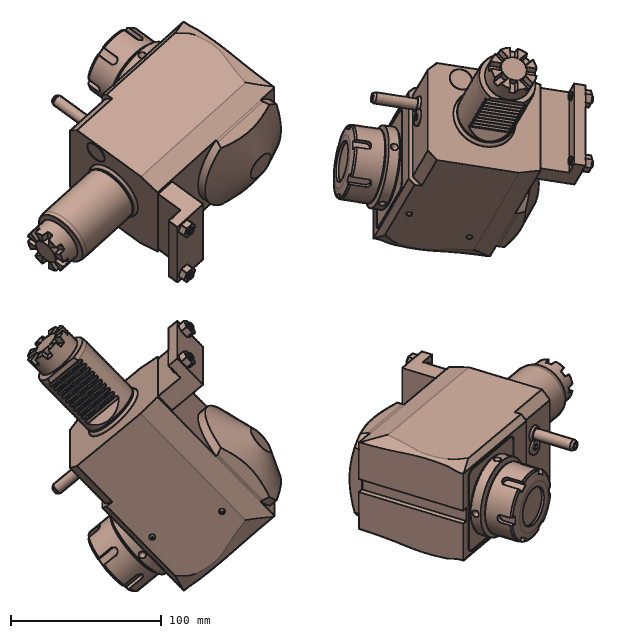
import cadquery as cq
import math


OVERALL_LENGTH = 184.0

BODY_LENGTH = 116.1
HALF_HEIGHT = 37.5
BODY_RIGHT = 39.0
SLOPE_START = 24.0
SLOPE_DROP = 4.5
HEAD_LEFT = -42.0
HEAD_CHAMFER = 4.0
BASE_LEFT = -39.2
BASE_CHAMFER = 6.3
BASE_LENGTH = 35.0
REAR_NOTCH_WIDTH = 10.0
REAR_NOTCH_DEPTH = 4.0
REAR_FALL = 0.31
REAR_EDGE_END = 102.7
REAR_EDGE = [
    (-37.7, 103.2),
    (-31.3, 108.5),
    (-24.0, 111.3),
    (-13.5, 112.6),
    (-1.3, 111.0),
    (10.0, 107.3),
    (24.0, 104.0),
]
OVERLAP = 1.8
MARK_DEPTH = 0.4

SPINDLE_Y = 80.0
NUT_FRONT = -74.5
NUT_RADIUS = 25.2
NUT_FACE_RADIUS = 18.0
NUT_CONE_LENGTH = 1.5
NUT_FRONT_BEVEL = 1.3
NUT_EDGE = 0.7
NUT_BACK = -51.7
NUT_SLOT_COUNT = 6
NUT_SLOT_WIDTH = 5.9
NUT_SLOT_FLOOR = 21.9
LONG_SLOT_END = -58.1
SHORT_SLOT_END = -61.8
BORE_RADIUS = 13.8
BORE_DEPTH = 1.8
NECK_RADIUS = 20.5
COLLAR_FRONT = -50.5
COLLAR_BACK = -42.9
COLLAR_RADIUS = 28.0
SEAT_RADIUS = 26.9
COLLAR_HOLE_RADIUS = 2.5
COLLAR_HOLE_DEPTH = 2.8
COVER_Y = 58.1
COVER_Z = 63.1
COVER_CORNER = 5.0

CAP_RADIUS = 40.0
CAP_TIP_RADIUS = 10.0
CAP_RIM = 45.3
CAP_TIP = 59.0
CAP_FLAT_Y = 111.3
CAP_FLAT_Z = 33.1
CAP_SLOPE_START = 40.7
CAP_SLOPE_ANGLE = 15.0

SHANK_RADIUS = 20.0
RELIEF_RADIUS = 19.5
RELIEF_END = -3.3
SHANK_END = -52.8
SHANK_CHAMFER = 0.5
SHANK_CHAMFER_START = -49.9
FLANGE_RADIUS = 21.5
FLANGE_THICKNESS = 2.2
FLANGE_ROUND = 1.8
COUPLING_RADIUS = 16.0
COUPLING_START = -54.0
COUPLING_END = BODY_LENGTH - OVERALL_LENGTH
COUPLING_NECK = 12.7
CLAW_COUNT = 8
CLAW_DEPTH = 4.6
CLAW_SLOT_ROOT = 4.0
CLAW_SLOT_MOUTH = 5.5
CLAW_HUB_RADIUS = 8.8
RACK_CREST = -15.8
RACK_DEPTH = 1.5
RACK_TEETH = 9
RACK_FIRST = -13.8
RACK_LAST = -45.5
RACK_START = -10.5
RACK_TIP_WIDTH = 0.7
RACK_ROOT_WIDTH = 2.4

PIN_Y = 21.0
PIN_Z = 16.2
PIN_RADIUS = 3.9
PIN_TIP = -71.5
PIN_CHAMFER = 2.0
PIN_SEAT_RADIUS = 5.7
PIN_SEAT_HEIGHT = 1.8
PIN_SEAT_TAPER = 1.0
PLUG_Z = 6.0
PLUG_RADIUS = 5.7
PLUG_HEIGHT = 1.7
PLUG_ROUND = 0.5
SOCKET_SIZE = 4.0
SOCKET_DEPTH = 1.8

RECESS_X = -16.2
RECESS_Z = 27.8
RECESS_RADIUS = 7.7

BRACKET_HALF_HEIGHT = 31.1
BRACKET_RIGHT = 66.8
BRACKET_LEG_LEFT = 58.9
BRACKET_TOP_Y = 14.4
BRACKET_UNDER_Y = 0.5
BRACKET_END_Y = -11.2
BOLT_Y = -4.6
BOLT_Z = 25.0
BOLT_RADIUS = 3.0
BOLT_LEFT = 57.2
BOLT_RIGHT = 73.6
BOLT_CHAMFER = 1.0
HEX_FLATS = 10.0
HEX_THICKNESS = 5.0

STUD_PLACES = [(-30.4, 71.8), (16.5, 88.9)]
STUD_RADIUS = 2.0
STUD_TIP_RADIUS = 0.7
STUD_HEIGHT = 1.5


def box(x0, x1, y0, y1, z0, z1):
    return cq.Workplane("XY").box(x1 - x0, y1 - y0, z1 - z0, centered=False).translate((x0, y0, z0))


def rod_x(x0, x1, y, z, radius):
    return cq.Workplane("YZ", origin=(x0, y, z)).circle(radius).extrude(x1 - x0)


def hex_x(x0, x1, y, z, flats):
    """Hexagonal prism along X with two of its corners pointing along Y."""
    return cq.Workplane("YZ", origin=(x0, y, z)).polygon(6, flats / math.cos(math.pi / 6)).extrude(x1 - x0)


def turned_x(profile, y, z=0.0):
    """Revolve (x, radius) points about an axis parallel to X."""
    points = [(profile[0][0], 0)] + profile + [(profile[-1][0], 0)]
    return cq.Workplane("XY").polyline(points).close().revolve(360, (0, 0), (1, 0)).translate((0, y, z))


def turned_y(profile):
    """Revolve (y, radius) points about the Y axis."""
    points = [(0, profile[0][0])] + [(r, y) for y, r in profile] + [(0, profile[-1][0])]
    return cq.Workplane("XY").polyline(points).close().revolve(360, (0, 0), (0, 1))


def both_sides(shape):
    """A shape together with its mirror image below Z = 0."""
    return shape.union(shape.mirror("XY"))


def body_block(left, chamfer, y0, y1):
    upper = [
        (left, HALF_HEIGHT - chamfer),
        (left + chamfer, HALF_HEIGHT),
        (SLOPE_START, HALF_HEIGHT),
        (BODY_RIGHT, HALF_HEIGHT - SLOPE_DROP),
    ]
    lower = [(x, -z) for x, z in reversed(upper)]
    return cq.Workplane("XZ", origin=(0, y0, 0)).polyline(upper + lower).close().extrude(y0 - y1)


def rear_bevel():
    """Cutter for the upper rear bevel: the edge curve swept along a falling straight line."""
    run = 36.8
    far_y = BODY_LENGTH + run
    outline = (
        cq.Workplane("XY", origin=(0, 0, HALF_HEIGHT))
        .moveTo(HEAD_LEFT, far_y)
        .lineTo(HEAD_LEFT, REAR_EDGE_END)
        .spline(REAR_EDGE + [(BODY_RIGHT, REAR_EDGE_END)], includeCurrent=True)
        .lineTo(BODY_RIGHT, far_y)
        .close()
    )
    fall = cq.Vector(0, run, -REAR_FALL * run)
    cutter = cq.Solid.extrudeLinear(outline.val(), [], fall * 2)
    return cq.Workplane(cutter.translate(fall * -1))


def make_body():
    body = body_block(BASE_LEFT, BASE_CHAMFER, 0, BASE_LENGTH)
    body = body.union(body_block(HEAD_LEFT, HEAD_CHAMFER, BASE_LENGTH, BODY_LENGTH))
    bevel = rear_bevel()
    body = body.cut(bevel).cut(bevel.mirror("XY"))
    half_notch = REAR_NOTCH_WIDTH / 2
    notch_floor = BODY_LENGTH - REAR_NOTCH_DEPTH
    body = body.cut(box(HEAD_LEFT, BODY_RIGHT, notch_floor, BODY_LENGTH, -half_notch, half_notch))
    recess = cq.Workplane("XZ", origin=(RECESS_X, 0, RECESS_Z)).circle(RECESS_RADIUS).extrude(-MARK_DEPTH)
    return body.cut(recess).cut(cover_joint())


def cover_joint():
    """Narrow groove around the rectangular spindle cover."""
    def plate(inset):
        return (
            cq.Workplane("YZ", origin=(HEAD_LEFT, SPINDLE_Y, 0))
            .rect(COVER_Y - 2 * inset, COVER_Z - 2 * inset)
            .extrude(MARK_DEPTH)
            .edges("|X")
            .fillet(COVER_CORNER - inset)
        )
    return plate(0).cut(plate(MARK_DEPTH))


def nut_slot(angle, end):
    """Round-ended slot in the nut, open at the front; angle is measured about X from +Y."""
    half_width = NUT_SLOT_WIDTH / 2
    straight_end = end - half_width
    depth = NUT_RADIUS
    slot = box(NUT_FRONT, straight_end, -half_width, half_width, 0, depth)
    slot = slot.union(cq.Workplane("XY", origin=(straight_end, 0, 0)).circle(half_width).extrude(depth))
    slot = slot.translate((0, 0, NUT_SLOT_FLOOR)).rotate((0, 0, 0), (1, 0, 0), angle - 90)
    return slot.translate((0, SPINDLE_Y, 0))


def make_spindle():
    spindle = turned_x(
        [
            (NUT_FRONT, NUT_FACE_RADIUS),
            (NUT_FRONT + NUT_CONE_LENGTH, NUT_RADIUS - NUT_EDGE),
            (NUT_FRONT + NUT_CONE_LENGTH + NUT_FRONT_BEVEL, NUT_RADIUS),
            (NUT_BACK - NUT_EDGE, NUT_RADIUS),
            (NUT_BACK, NUT_RADIUS - NUT_EDGE),
            (NUT_BACK, NECK_RADIUS),
            (COLLAR_FRONT, NECK_RADIUS),
            (COLLAR_FRONT, COLLAR_RADIUS),
            (COLLAR_BACK, COLLAR_RADIUS),
            (COLLAR_BACK, SEAT_RADIUS),
            (HEAD_LEFT + OVERLAP, SEAT_RADIUS),
        ],
        SPINDLE_Y,
    )
    spindle = spindle.cut(rod_x(NUT_FRONT, NUT_FRONT + BORE_DEPTH, SPINDLE_Y, 0, BORE_RADIUS))
    for i in range(NUT_SLOT_COUNT):
        faces_y = i % (NUT_SLOT_COUNT // 2) == 0
        end = SHORT_SLOT_END if faces_y else LONG_SLOT_END
        spindle = spindle.cut(nut_slot(i * 360 / NUT_SLOT_COUNT, end))
    collar_middle = (COLLAR_FRONT + COLLAR_BACK) / 2
    hole_bottom = cq.Vector(collar_middle, 0, COLLAR_RADIUS - COLLAR_HOLE_DEPTH)
    hole = cq.Workplane(cq.Solid.makeCone(0, COLLAR_HOLE_RADIUS, COLLAR_HOLE_DEPTH, hole_bottom))
    for angle in range(0, 360, 90):
        spindle = spindle.cut(hole.rotate((0, 0, 0), (1, 0, 0), angle).translate((0, SPINDLE_Y, 0)))
    return spindle


def make_cap():
    cap = turned_x(
        [
            (BODY_RIGHT - OVERLAP, CAP_RADIUS),
            (CAP_RIM, CAP_RADIUS),
            (CAP_TIP, CAP_TIP_RADIUS),
        ],
        SPINDLE_Y,
    )
    tip_z = CAP_FLAT_Z - (CAP_TIP - CAP_SLOPE_START) * math.tan(math.radians(CAP_SLOPE_ANGLE))
    upper = [(BODY_RIGHT - OVERLAP, CAP_FLAT_Z), (CAP_SLOPE_START, CAP_FLAT_Z), (CAP_TIP, tip_z)]
    lower = [(x, -z) for x, z in reversed(upper)]
    envelope = (
        cq.Workplane("XZ", origin=(0, CAP_FLAT_Y, 0))
        .polyline(upper + lower)
        .close()
        .extrude(2 * CAP_RADIUS)
    )
    return cap.intersect(envelope)


def rack_cutter():
    """Flat along the underside of the shank that leaves a row of small teeth and a land at the end."""
    floor = RACK_CREST + RACK_DEPTH
    far_z = -2 * SHANK_RADIUS
    half_tip = RACK_TIP_WIDTH / 2
    half_root = RACK_ROOT_WIDTH / 2
    pitch = (RACK_LAST - RACK_FIRST) / (RACK_TEETH - 1)
    points = [(RACK_START, floor)]
    for i in range(RACK_TEETH):
        tooth_y = RACK_FIRST + i * pitch
        points.append((tooth_y + half_root, floor))
        points.append((tooth_y + half_tip, RACK_CREST))
        points.append((tooth_y - half_tip, RACK_CREST))
        points.append((tooth_y - half_root, floor))
    land_y = RACK_LAST + pitch
    points.append((land_y + half_root, floor))
    points.append((land_y + half_tip, RACK_CREST))
    points.append((SHANK_END, RACK_CREST))
    points.append((SHANK_END, far_z))
    points.append((RACK_START + floor - far_z, far_z))
    return cq.Workplane("YZ").polyline(points).close().extrude(SHANK_RADIUS, both=True)


def make_shank():
    shank = turned_y(
        [
            (OVERLAP, RELIEF_RADIUS),
            (RELIEF_END, RELIEF_RADIUS),
            (RELIEF_END, SHANK_RADIUS),
            (SHANK_CHAMFER_START, SHANK_RADIUS),
            (SHANK_END, SHANK_RADIUS - SHANK_CHAMFER),
            (SHANK_END, COUPLING_NECK),
            (COUPLING_START, COUPLING_NECK),
            (COUPLING_START, COUPLING_RADIUS),
            (COUPLING_END, COUPLING_RADIUS),
        ]
    )
    flange = cq.Workplane("XZ").circle(FLANGE_RADIUS).extrude(FLANGE_THICKNESS)
    flange = flange.faces("<Y").edges().fillet(FLANGE_ROUND)
    shank = shank.cut(rack_cutter()).union(flange)

    claw_root = COUPLING_END + CLAW_DEPTH
    slot = (
        cq.Workplane("YZ")
        .polyline(
            [
                (claw_root, -CLAW_SLOT_ROOT / 2),
                (COUPLING_END, -CLAW_SLOT_MOUTH / 2),
                (COUPLING_END, CLAW_SLOT_MOUTH / 2),
                (claw_root, CLAW_SLOT_ROOT / 2),
            ]
        )
        .close()
        .extrude(2 * COUPLING_RADIUS)
    )
    hub = cq.Workplane("XZ", origin=(0, claw_root, 0)).circle(CLAW_HUB_RADIUS).extrude(CLAW_DEPTH)
    for i in range(CLAW_COUNT):
        shank = shank.cut(slot.rotate((0, 0, 0), (0, 1, 0), i * 360 / CLAW_COUNT).cut(hub))
    return shank


def make_pin():
    seat = BASE_LEFT - PIN_SEAT_HEIGHT
    pin = turned_x(
        [
            (PIN_TIP, PIN_RADIUS - PIN_CHAMFER / 2),
            (PIN_TIP + PIN_CHAMFER, PIN_RADIUS),
            (seat, PIN_RADIUS),
            (seat, PIN_SEAT_RADIUS - PIN_SEAT_TAPER),
            (BASE_LEFT, PIN_SEAT_RADIUS),
            (BASE_LEFT + OVERLAP, PIN_SEAT_RADIUS),
        ],
        PIN_Y,
        PIN_Z,
    )
    return pin.cut(hex_x(PIN_TIP, PIN_TIP + SOCKET_DEPTH, PIN_Y, PIN_Z, SOCKET_SIZE))


def make_plug():
    front = BASE_LEFT - PLUG_HEIGHT
    plug = rod_x(front, BASE_LEFT + OVERLAP, PIN_Y, PLUG_Z, PLUG_RADIUS)
    plug = plug.faces("<X").edges().fillet(PLUG_ROUND)
    return plug.cut(hex_x(front, front + SOCKET_DEPTH, PIN_Y, PLUG_Z, SOCKET_SIZE))


def make_bracket():
    outline = [
        (BODY_RIGHT - OVERLAP, BRACKET_TOP_Y),
        (BRACKET_RIGHT, BRACKET_TOP_Y),
        (BRACKET_RIGHT, BRACKET_END_Y),
        (BRACKET_LEG_LEFT, BRACKET_END_Y),
        (BRACKET_LEG_LEFT, BRACKET_UNDER_Y),
        (BODY_RIGHT - OVERLAP, BRACKET_UNDER_Y),
    ]
    bracket = cq.Workplane("XY").polyline(outline).close().extrude(BRACKET_HALF_HEIGHT, both=True)
    bolt = rod_x(BOLT_LEFT, BOLT_RIGHT, BOLT_Y, BOLT_Z, BOLT_RADIUS)
    bolt = bolt.faces("<X or >X").chamfer(BOLT_CHAMFER)
    bolt = bolt.union(hex_x(BRACKET_RIGHT, BRACKET_RIGHT + HEX_THICKNESS, BOLT_Y, BOLT_Z, HEX_FLATS))
    return bracket.union(both_sides(bolt))


def make_studs():
    return (
        cq.Workplane("XY", origin=(0, 0, -HALF_HEIGHT))
        .pushPoints(STUD_PLACES)
        .circle(STUD_RADIUS)
        .extrude(-STUD_HEIGHT)
        .faces("<Z")
        .chamfer(STUD_RADIUS - STUD_TIP_RADIUS)
    )


result = make_body()
for piece in (make_spindle(), make_cap(), make_shank(), make_plug(), make_pin(), make_bracket(), make_studs()):
    result = result.union(piece)